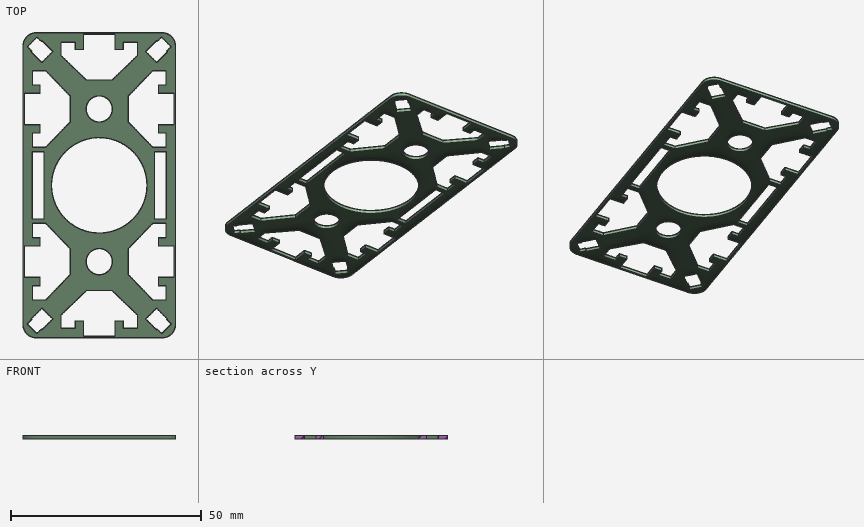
import cadquery as cq

width = 40.0
length = 80.0
thickness = 1.0
corner_radius = 3.5

cell = length / 2
half_cell = cell / 2
bore_diameter = 6.8
window_diameter = 25.0

rim = 0.5
mouth_half_width = 4.1
lip_half_width = 6.3
cavity_half_width = 10.0
floor_half_width = 3.4
cavity_top_depth = 2.6
lip_depth = 4.5
cavity_side_depth = 6.0
floor_depth = 12.4

side_slot_width = 3.0
side_slot_length = 17.5
side_slot_edge_gap = 2.5

corner_slot_outer_depth = 3.4
corner_slot_step_depth = 5.0
corner_slot_inner_depth = 9.0
corner_slot_outer_half_width = 1.8
corner_slot_inner_half_width = 2.0
corner_slot_angle = 45


def extrude_cutter(sketch):
    """Turn a closed sketch on the bottom plane into a full-depth cutter."""
    return sketch.extrude(thickness)


def make_plate():
    plate = cq.Workplane("XY").box(width, length, thickness, centered=(True, True, False))
    return plate.edges("|Z").fillet(corner_radius)


def make_t_slot():
    """T-slot opening toward +Y, in a cell centred on the origin."""
    half_outline = [
        (mouth_half_width, rim),
        (mouth_half_width, lip_depth),
        (lip_half_width, lip_depth),
        (lip_half_width, cavity_top_depth),
        (cavity_half_width, cavity_top_depth),
        (cavity_half_width, cavity_side_depth),
        (floor_half_width, floor_depth),
    ]
    right = [(x, half_cell - depth) for x, depth in half_outline]
    left = [(-x, y) for x, y in reversed(right)]
    return extrude_cutter(cq.Workplane("XY").polyline(right + left).close())


def make_corner_slot():
    """Opening in the +X +Y corner: narrow toward the corner, wider inside a step."""
    half_outline = [
        (corner_slot_outer_depth, corner_slot_outer_half_width),
        (corner_slot_step_depth, corner_slot_outer_half_width),
        (corner_slot_step_depth, corner_slot_inner_half_width),
        (corner_slot_inner_depth, corner_slot_inner_half_width),
    ]
    one_side = [(-depth, y) for depth, y in half_outline]
    other_side = [(x, -y) for x, y in reversed(one_side)]
    slot = extrude_cutter(cq.Workplane("XY").polyline(one_side + other_side).close())
    slot = slot.rotate((0, 0, 0), (0, 0, 1), corner_slot_angle)
    return slot.translate((width / 2, length / 2, 0))


result = make_plate()

result = result.cut(extrude_cutter(cq.Workplane("XY").circle(window_diameter / 2)))

t_slot = make_t_slot()
for y_side, slot_turns in ((1, (0, 90, -90)), (-1, (180, 90, -90))):
    cell_y = y_side * half_cell
    bore = cq.Workplane("XY").center(0, cell_y).circle(bore_diameter / 2)
    result = result.cut(extrude_cutter(bore))
    for turn in slot_turns:
        turned_slot = t_slot.rotate((0, 0, 0), (0, 0, 1), turn)
        result = result.cut(turned_slot.translate((0, cell_y, 0)))

side_slot_x = width / 2 - side_slot_edge_gap - side_slot_width / 2
for x in (-side_slot_x, side_slot_x):
    side_slot = cq.Workplane("XY").center(x, 0).rect(side_slot_width, side_slot_length)
    result = result.cut(extrude_cutter(side_slot))

right_corner_slot = make_corner_slot()
left_corner_slot = right_corner_slot.mirror("YZ")
for corner_slot in (right_corner_slot, left_corner_slot):
    result = result.cut(corner_slot)
    result = result.cut(corner_slot.mirror("XZ"))